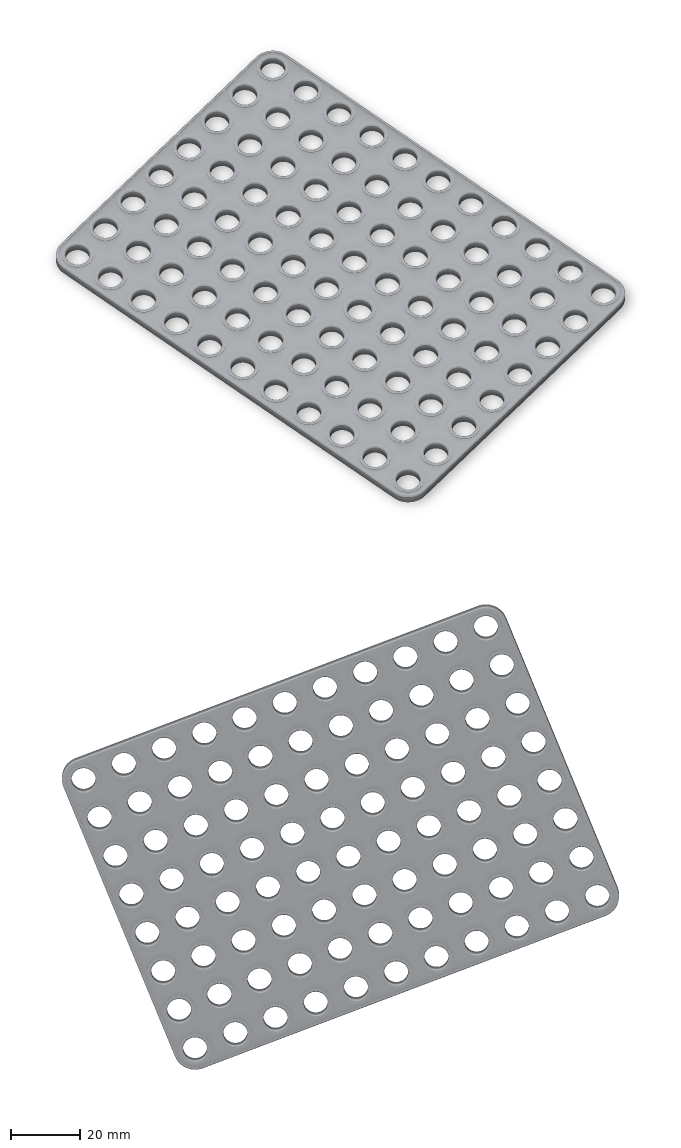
import cadquery as cq

length = 137.5
columns = 11
rows = 8
pitch = length / columns
width = rows * pitch
thickness = pitch / 4
corner_radius = pitch / 2

chamfer = 0.3

recess_depth = 0.2
border_width = 0.8
ring_diameter = 9.2

hole_diameter = 7.0


def make_blank():
    """Plate with rounded corners and chamfered rims, centred on the origin."""
    blank = cq.Workplane("XY").box(length, width, thickness)
    blank = blank.edges("|Z").fillet(corner_radius)
    return blank.faces("<Z or >Z").edges().chamfer(chamfer)


def hole_grid():
    """Workplane at mid-thickness with a point at the middle of each cell."""
    return cq.Workplane("XY").rarray(pitch, pitch, columns, rows)


def make_hole_cutters():
    """Through holes with a 45 degree chamfer at each end."""
    hole_radius = hole_diameter / 2
    mouth_radius = hole_radius + chamfer
    face = thickness / 2
    throat = face - chamfer
    profile = (
        cq.Workplane("XZ")
        .moveTo(0, -face)
        .lineTo(mouth_radius, -face)
        .lineTo(hole_radius, -throat)
        .lineTo(hole_radius, throat)
        .lineTo(mouth_radius, face)
        .lineTo(0, face)
        .close()
    )
    cutter = profile.revolve(360, (0, 0, 0), (0, 1, 0)).val()
    return hole_grid().eachpoint(lambda location: cutter.moved(location), combine=False)


def make_face_recess():
    """Shallow pocket volume inside the border, with the hole rings left out, resting on Z = 0."""
    pocket = cq.Workplane("XY").rect(length - 2 * border_width, width - 2 * border_width)
    pocket = pocket.extrude(recess_depth)
    pocket = pocket.edges("|Z").fillet(corner_radius - border_width)
    rings = hole_grid().circle(ring_diameter / 2).extrude(recess_depth)
    return pocket.cut(rings)


recess = make_face_recess()
top_recess = recess.translate((0, 0, thickness / 2 - recess_depth))
bottom_recess = recess.translate((0, 0, -thickness / 2))

result = make_blank().cut(top_recess).cut(bottom_recess).cut(make_hole_cutters())